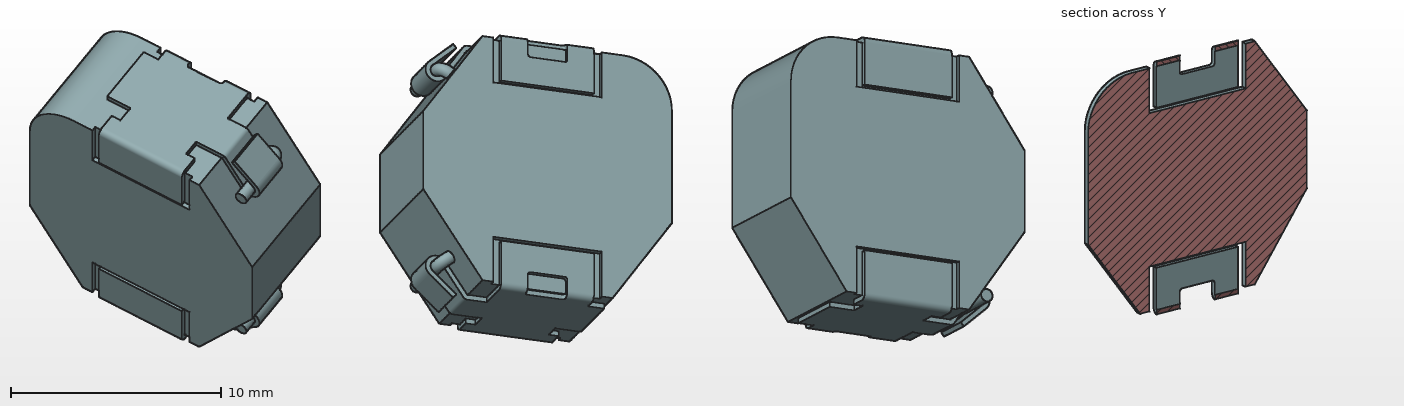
import cadquery as cq
import math

HOUSING_HALF_WIDTH = 6.3
HOUSING_HALF_HEIGHT = 6.25
HOUSING_FRONT = -2.95
HOUSING_REAR = 3.0
CHAMFER_WIDTH = 3.0
CHAMFER_HEIGHT = 4.25
CORNER_RADIUS = 2.5

SHEET = 0.25
FLAP_HALF_WIDTH = 2.35
FLAP_FRONT = -3.0
FLAP_REAR = HOUSING_REAR
FLAP_TIP_Z = 4.1
FLAP_BEND_RADIUS = 0.3
PLATE_TOP = HOUSING_HALF_HEIGHT + SHEET
SIDE_TAB_X = -3.17
SIDE_TAB_REAR = 2.18
ARM_HALF_WIDTH = 1.0
NOTCH_INNER_X = 1.86
NOTCH_FRONT = -1.87
WINDOW_HALF_WIDTH = 1.0
WINDOW_EDGE_Y = 2.58
WINDOW_BOTTOM_Z = 5.5
WINDOW_CORNER_RADIUS = 0.15

RECESS_HALF_WIDTH = 2.75
RECESS_BOTTOM_Z = 3.95
RECESS_FLOOR_Y = 2.7

WIRE_RADIUS = 0.31
WIRE_FRONT = -1.75
HOOK_RADIUS = WIRE_RADIUS + SHEET
ARM_LENGTH = 1.92
ARM_GAP = 0.03
RETURN_LEG_LENGTH = 1.6
RETURN_LEG_NORMAL = 49.0

CHAMFER_TOP = cq.Vector(HOUSING_HALF_WIDTH - CHAMFER_WIDTH, 0, HOUSING_HALF_HEIGHT)
DOWN_CHAMFER = cq.Vector(CHAMFER_WIDTH, 0, -CHAMFER_HEIGHT).normalized()
OFF_CHAMFER = cq.Vector(CHAMFER_HEIGHT, 0, CHAMFER_WIDTH).normalized()
HOOK_FOOT = CHAMFER_TOP + DOWN_CHAMFER * ARM_LENGTH
WIRE_OFFSET = HOOK_RADIUS + ARM_GAP
WIRE_CENTER = HOOK_FOOT + OFF_CHAMFER * WIRE_OFFSET


def block(x0, x1, y0, y1, z0, z1):
    """Box between two corners."""
    return cq.Workplane("XY").box(x1 - x0, y1 - y0, z1 - z0, centered=False).translate((x0, y0, z0))


def xz(point):
    """Profile coordinates of a point on the XZ plane."""
    return (point.x, point.z)


def make_housing():
    left, right = -HOUSING_HALF_WIDTH, HOUSING_HALF_WIDTH
    bottom, top = -HOUSING_HALF_HEIGHT, HOUSING_HALF_HEIGHT
    body = (
        cq.Workplane("XZ", origin=(0, HOUSING_REAR, 0))
        .moveTo(left + CORNER_RADIUS, top)
        .lineTo(right - CHAMFER_WIDTH, top)
        .lineTo(right, top - CHAMFER_HEIGHT)
        .lineTo(right, bottom + CHAMFER_HEIGHT)
        .lineTo(right - CHAMFER_WIDTH, bottom)
        .lineTo(left + CHAMFER_WIDTH, bottom)
        .lineTo(left, bottom + CHAMFER_HEIGHT)
        .lineTo(left, top - CORNER_RADIUS)
        .radiusArc((left + CORNER_RADIUS, top), CORNER_RADIUS)
        .close()
        .extrude(HOUSING_REAR - HOUSING_FRONT)
    )
    for y0, y1 in ((HOUSING_FRONT, -RECESS_FLOOR_Y), (RECESS_FLOOR_Y, HOUSING_REAR)):
        recess = block(-RECESS_HALF_WIDTH, RECESS_HALF_WIDTH, y0, y1, RECESS_BOTTOM_Z, top)
        body = body.cut(recess).cut(recess.mirror("XY"))
    return body


def make_channel():
    """Top plate with a flap bent down at the front and at the rear."""
    outer = (
        block(-FLAP_HALF_WIDTH, FLAP_HALF_WIDTH, FLAP_FRONT, FLAP_REAR, FLAP_TIP_Z, PLATE_TOP)
        .edges("|X and >Z")
        .fillet(FLAP_BEND_RADIUS)
    )
    inner = (
        block(
            -FLAP_HALF_WIDTH, FLAP_HALF_WIDTH, FLAP_FRONT + SHEET, FLAP_REAR - SHEET,
            FLAP_TIP_Z, HOUSING_HALF_HEIGHT,
        )
        .edges("|X and >Z")
        .fillet(FLAP_BEND_RADIUS - SHEET)
    )
    return outer.cut(inner)


def make_window():
    """Opening that runs over the rear bend, with rounded corners at both of its ends."""
    opening = block(
        -WINDOW_HALF_WIDTH, WINDOW_HALF_WIDTH, WINDOW_EDGE_Y, FLAP_REAR, WINDOW_BOTTOM_Z, PLATE_TOP
    )
    rounded_in_plate = opening.edges("|Z and <Y").fillet(WINDOW_CORNER_RADIUS)
    rounded_in_flap = opening.edges("|Y and <Z").fillet(WINDOW_CORNER_RADIUS)
    return rounded_in_plate.intersect(rounded_in_flap)


def make_arm():
    """Strip that bends down the chamfer and hooks around the wire."""
    normal_angle = math.radians(RETURN_LEG_NORMAL)
    leg_normal = cq.Vector(math.cos(normal_angle), 0, math.sin(normal_angle))
    leg_direction = cq.Vector(-leg_normal.z, 0, leg_normal.x)
    leg_run = leg_direction * RETURN_LEG_LENGTH
    leg_outer = WIRE_CENTER + leg_normal * HOOK_RADIUS
    leg_inner = WIRE_CENTER + leg_normal * WIRE_RADIUS
    bend_corner = CHAMFER_TOP + cq.Vector(ARM_GAP / OFF_CHAMFER.x, 0, 0)
    hook_start = HOOK_FOOT + OFF_CHAMFER * ARM_GAP
    hook_middle = (leg_normal - OFF_CHAMFER + DOWN_CHAMFER * 2).normalized()
    return (
        cq.Workplane("XZ", origin=(0, ARM_HALF_WIDTH, 0))
        .moveTo(NOTCH_INNER_X, HOUSING_HALF_HEIGHT)
        .lineTo(*xz(bend_corner))
        .lineTo(*xz(hook_start))
        .threePointArc(xz(WIRE_CENTER + hook_middle * HOOK_RADIUS), xz(leg_outer))
        .lineTo(*xz(leg_outer + leg_run))
        .lineTo(*xz(leg_inner + leg_run))
        .lineTo(*xz(leg_inner))
        .threePointArc(xz(WIRE_CENTER + hook_middle * WIRE_RADIUS), xz(hook_start + OFF_CHAMFER * SHEET))
        .lineTo(*xz(bend_corner + OFF_CHAMFER * SHEET))
        .radiusArc((bend_corner.x, PLATE_TOP), -SHEET)
        .lineTo(NOTCH_INNER_X, PLATE_TOP)
        .close()
        .extrude(2 * ARM_HALF_WIDTH)
    )


def make_terminal():
    side_tab = block(
        SIDE_TAB_X, 0, -ARM_HALF_WIDTH, SIDE_TAB_REAR, HOUSING_HALF_HEIGHT, PLATE_TOP
    )
    notch = block(
        NOTCH_INNER_X, FLAP_HALF_WIDTH, NOTCH_FRONT, -ARM_HALF_WIDTH, HOUSING_HALF_HEIGHT, PLATE_TOP
    )
    channel = make_channel().cut(notch).cut(notch.mirror("YZ")).cut(make_window())
    return channel.union(side_tab).union(make_arm())


def make_wire():
    """Round wire along Y, bent a quarter turn to end square on the chamfer."""
    bend_start = cq.Vector(WIRE_CENTER.x, ARM_HALF_WIDTH, WIRE_CENTER.z)
    to_rear = cq.Vector(0, WIRE_OFFSET, 0)
    bend_center = bend_start - OFF_CHAMFER * WIRE_OFFSET
    bend_middle = bend_center + (OFF_CHAMFER * WIRE_OFFSET + to_rear) * math.sqrt(0.5)
    straight = (
        cq.Workplane("XZ", origin=(0, WIRE_FRONT, 0))
        .center(*xz(WIRE_CENTER))
        .circle(WIRE_RADIUS)
        .extrude(WIRE_FRONT - ARM_HALF_WIDTH)
    )
    path = cq.Workplane(cq.Edge.makeThreePointArc(bend_start, bend_middle, bend_center + to_rear))
    bend = (
        cq.Workplane("XZ", origin=(0, ARM_HALF_WIDTH, 0))
        .center(*xz(WIRE_CENTER))
        .circle(WIRE_RADIUS)
        .sweep(path)
    )
    return straight.union(bend)


housing = make_housing()
bodies = housing.solids().vals()
for upper in (make_terminal(), make_wire()):
    for body in (upper, upper.mirror("XY")):
        bodies.extend(body.solids().vals())

result = cq.Compound.makeCompound(bodies)